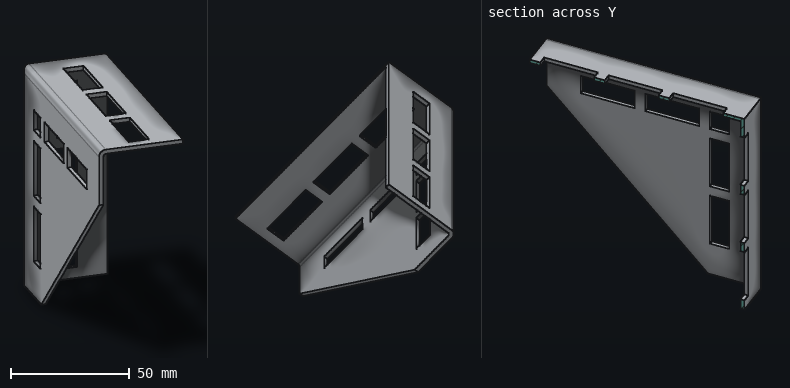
import cadquery as cq

leg = 100.0
depth = 37.5
sheet = 2.0
leg_end = 25.0

bend_outer = 3.0
bend_inner = bend_outer - sheet

slot_length = 25.0
slot_width = 9.0
slot_gap = 5.0
slot_pitch = slot_length + slot_gap
flange_slot_count = 3
plate_slot_count = 2
flange_slot_start = 10.0
slot_line = 19.5
slot_near = slot_line - slot_width / 2
plate_slot_start = slot_near + slot_width + slot_gap
cut_range = (-sheet, 2 * sheet)


def box_between(x_range, y_range, z_range):
    """Box spanning a (low, high) range along each axis."""
    sizes = [high - low for low, high in (x_range, y_range, z_range)]
    corner = (x_range[0], y_range[0], z_range[0])
    return cq.Workplane("XY").box(*sizes, centered=False).translate(corner)


def span(start, length):
    """Range along an axis, given its start and length."""
    return (start, start + length)


def down_from_top(distances):
    """Turn a range of distances below the top face into a Z range."""
    near, far = distances
    return (leg - far, leg - near)


def bent_sheet():
    """Front plate with a left and a top flange, mitred at the rounded corner."""
    outer = box_between((0, leg), (0, depth), (0, leg))
    outer = outer.edges("(<X and <Y) or (<Y and >Z)").fillet(bend_outer)
    cavity = box_between((sheet, leg + sheet), (sheet, depth + sheet), (-sheet, leg - sheet))
    cavity = cavity.edges("(<X and <Y) or (<Y and >Z)").fillet(bend_inner)
    return outer.cut(cavity)


def corner_cutoff():
    """Prism that trims the front plate along its diagonal edge."""
    triangle = [(leg_end, 0), (leg, leg - leg_end), (leg, 0)]
    return cq.Workplane("XZ").polyline(triangle).close().extrude(-depth)


def slot_spans(start, count):
    """Lengthwise ranges of a row of slots, measured from the outer corner."""
    return [span(start + index * slot_pitch, slot_length) for index in range(count)]


def cut_plate_slots(body):
    """Cut the square corner hole and a row of slots along each leg of the front plate."""
    across = span(slot_near, slot_width)
    body = body.cut(box_between(across, cut_range, down_from_top(across)))
    for along in slot_spans(plate_slot_start, plate_slot_count):
        body = body.cut(box_between(along, cut_range, down_from_top(across)))
        body = body.cut(box_between(across, cut_range, down_from_top(along)))
    return body


def cut_flange_slots(body):
    """Cut a row of slots along the top flange and along the left flange."""
    across = span(slot_near, slot_width)
    for along in slot_spans(flange_slot_start, flange_slot_count):
        body = body.cut(box_between(along, across, down_from_top(cut_range)))
        body = body.cut(box_between(cut_range, across, down_from_top(along)))
    return body


bracket = bent_sheet().cut(corner_cutoff())
bracket = cut_plate_slots(bracket)
result = cut_flange_slots(bracket)